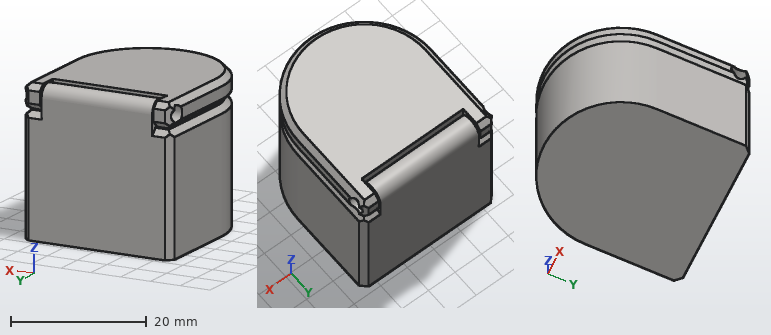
import cadquery as cq

length = 28.0
width = 25.0
height = 24.0
end_radius = width / 2
rear_y = length - end_radius

edge_chamfer = 1.0
lid_thickness = 4.0
lid_gap = 0.2
lid_bottom_z = height - lid_thickness
base_height = lid_bottom_z - lid_gap

knuckle_length = 18.6
knuckle_radius = lid_thickness / 2
knuckle_bore_diameter = 2.25
lid_bore_diameter = 2.75
axis_y = rear_y - knuckle_radius
axis_z = height - knuckle_radius

notch_end_clearance = 0.25
notch_front_clearance = 0.08
notch_length = knuckle_length + 2 * notch_end_clearance
notch_depth = 2 * knuckle_radius + notch_front_clearance


def d_block(bottom_z, thickness):
    """Plain D-shaped block."""
    return (
        cq.Workplane("XY", origin=(0, 0, bottom_z))
        .moveTo(-end_radius, rear_y)
        .lineTo(-end_radius, 0)
        .threePointArc((0, -end_radius), (end_radius, 0))
        .lineTo(end_radius, rear_y)
        .close()
        .extrude(thickness)
    )


def chamfered_block(bottom_z, thickness, rim_faces):
    """D-shaped block with chamfered rims and upright rear corners.

    The two sets of chamfers are intersected, so each slope runs straight on and mitres with the others.
    """
    rims_chamfered = d_block(bottom_z, thickness).faces(rim_faces).chamfer(edge_chamfer)
    corners_chamfered = d_block(bottom_z, thickness).edges("|Z and >Y").chamfer(edge_chamfer)
    return rims_chamfered.intersect(corners_chamfered)


def hinge_cylinder(diameter, cylinder_length):
    """Cylinder on the hinge axis, centred across the width."""
    return (
        cq.Workplane("YZ", origin=(-cylinder_length / 2, axis_y, axis_z))
        .circle(diameter / 2)
        .extrude(cylinder_length)
    )


def hinge_knuckle():
    """Round knuckle on a full-depth web rising out of the base."""
    web_bottom_z = base_height - edge_chamfer
    web = cq.Workplane("XY", origin=(0, axis_y, web_bottom_z)).box(
        knuckle_length,
        2 * knuckle_radius,
        axis_z - web_bottom_z,
        centered=(True, True, False),
    )
    barrel = hinge_cylinder(2 * knuckle_radius, knuckle_length)
    return web.union(barrel).cut(hinge_cylinder(knuckle_bore_diameter, knuckle_length))


def make_base():
    block = chamfered_block(0, base_height, ">Z")
    return block.union(hinge_knuckle())


def make_lid():
    plate = chamfered_block(lid_bottom_z, lid_thickness, "<Z or >Z")
    notch = cq.Workplane("XY", origin=(0, rear_y - notch_depth / 2, lid_bottom_z)).box(
        notch_length,
        notch_depth,
        lid_thickness,
        centered=(True, True, False),
    )
    return plate.cut(notch).cut(hinge_cylinder(lid_bore_diameter, width))


base = make_base()
lid = make_lid()

result = cq.Compound.makeCompound([base.val(), lid.val()])